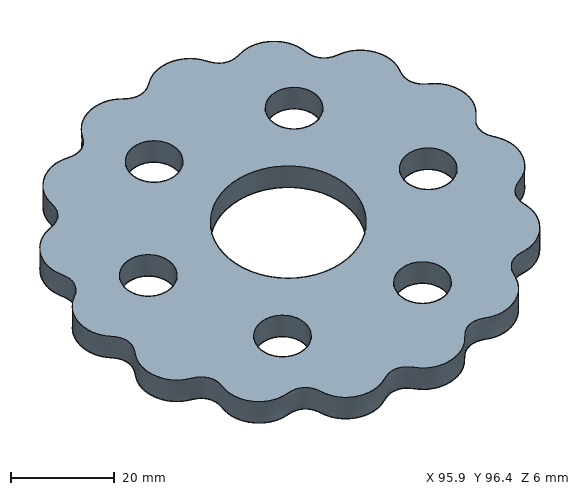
import cadquery as cq
import math

thickness = 6.0
lobe_count = 15
pin_count = lobe_count + 1
pin_circle_radius = 50.0
pin_radius = 3.6
eccentricity = 2.0

bore_diameter = 30.0
drive_hole_count = 6
drive_hole_diameter = 11.1
drive_hole_circle_radius = 30.5
first_drive_hole_angle = 90

points_per_lobe = 24


def outline_point(angle):
    """Point of the cycloidal outline; angle 0 is the valley on the +X axis."""
    pin_ratio = pin_circle_radius / (eccentricity * pin_count)
    lean = math.atan2(-math.sin(lobe_count * angle), pin_ratio - math.cos(lobe_count * angle))
    x = (
        pin_circle_radius * math.cos(angle)
        - pin_radius * math.cos(angle + lean)
        - eccentricity * math.cos(pin_count * angle)
    )
    y = (
        pin_circle_radius * math.sin(angle)
        - pin_radius * math.sin(angle + lean)
        - eccentricity * math.sin(pin_count * angle)
    )
    return x, y


def lobed_plate():
    point_count = lobe_count * points_per_lobe
    points = [outline_point(2 * math.pi * i / point_count) for i in range(point_count)]
    return cq.Workplane("XY").spline(points, periodic=True).close().extrude(thickness)


def bore():
    return cq.Workplane("XY").circle(bore_diameter / 2).extrude(thickness)


def drive_holes():
    return (
        cq.Workplane("XY")
        .polarArray(drive_hole_circle_radius, first_drive_hole_angle, 360, drive_hole_count)
        .circle(drive_hole_diameter / 2)
        .extrude(thickness)
    )


result = lobed_plate().cut(bore()).cut(drive_holes())